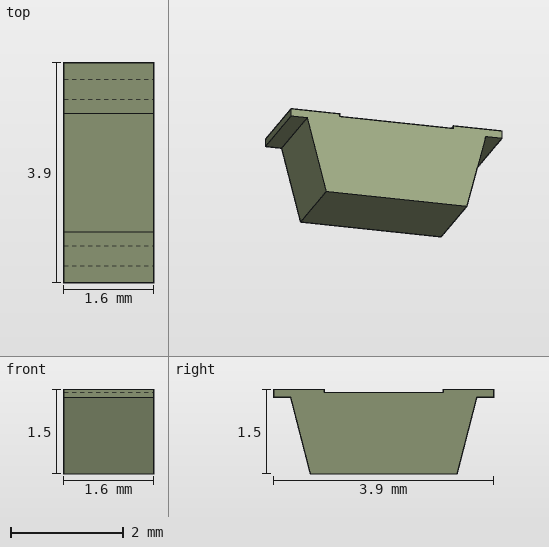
import cadquery as cq

width = 1.6
length = 3.9
height = 1.5

flange_overhang = 0.3
flange_thickness = 0.14
pad_length = 0.9
recess_depth = 0.05

bottom_length = 2.6

half_length = length / 2
half_body_top = half_length - flange_overhang
half_bottom = bottom_length / 2
half_recess = half_length - pad_length
flange_bottom = height - flange_thickness
recess_floor = height - recess_depth


def end_profile(side):
    """Profile points of one end, from the bottom edge up to the recess; side is +1 or -1 in Y."""
    return [
        (side * half_bottom, 0),
        (side * half_body_top, flange_bottom),
        (side * half_length, flange_bottom),
        (side * half_length, height),
        (side * half_recess, height),
        (side * half_recess, recess_floor),
    ]


outline = end_profile(1) + end_profile(-1)[::-1]
result = cq.Workplane("YZ").polyline(outline).close().extrude(width / 2, both=True)